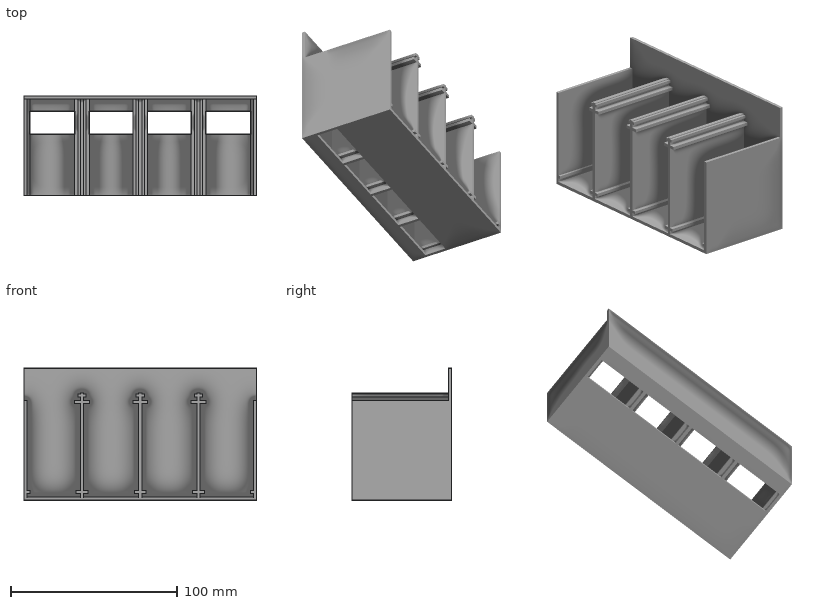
import cadquery as cq

length = 140.0
depth = 60.0
back_height = 79.5
wall = 2.0

compartments = 4
pitch = length / compartments
side_height = 60.0
divider_height = 64.5

guide_bottom = 4.2
guide_top = 6.0
guide_span = 7.0
side_guide_reach = 1.7

ledge_bottom = 58.1
ledge_span = 9.0
cap_bottom = 62.2
cap_top = 64.0
cap_span = 4.9

window_front = 37.0
window_back = 50.7


def block(x_range, y_range, z_range):
    """Axis-aligned box given by its lower and upper limit on each axis."""
    (x0, x1), (y0, y1), (z0, z1) = x_range, y_range, z_range
    return cq.Workplane("XY").box(x1 - x0, y1 - y0, z1 - z0, centered=False).translate((x0, y0, z0))


def centred_bar(x_centre, span, z_bottom, z_top):
    """Full-depth bar centred on a divider."""
    return block((x_centre - span / 2, x_centre + span / 2), (0, depth), (z_bottom, z_top))


def shell():
    """Floor, back panel and the two side walls with their guide rails."""
    body = block((0, length), (0, depth), (0, wall))
    body = body.union(block((0, length), (depth - wall, depth), (0, back_height)))
    guide_end = wall + side_guide_reach
    for wall_x, guide_x in (
        ((0, wall), (0, guide_end)),
        ((length - wall, length), (length - guide_end, length)),
    ):
        body = body.union(block(wall_x, (0, depth), (0, side_height)))
        body = body.union(block(guide_x, (0, depth), (guide_bottom, guide_top)))
    return body


def divider(x_centre):
    """Upright plate carrying the low guide rails, the ledge and the cap rail."""
    plate = centred_bar(x_centre, wall, 0, divider_height)
    plate = plate.union(centred_bar(x_centre, guide_span, guide_bottom, guide_top))
    plate = plate.union(centred_bar(x_centre, ledge_span, ledge_bottom, side_height))
    return plate.union(centred_bar(x_centre, cap_span, cap_bottom, cap_top))


def floor_window(index):
    """Cutter spanning one compartment from wall face to wall face."""
    left = wall if index == 0 else index * pitch + wall / 2
    right = length - wall if index == compartments - 1 else (index + 1) * pitch - wall / 2
    return block((left, right), (window_front, window_back), (0, wall))


result = shell()
for index in range(1, compartments):
    result = result.union(divider(index * pitch))
for index in range(compartments):
    result = result.cut(floor_window(index))